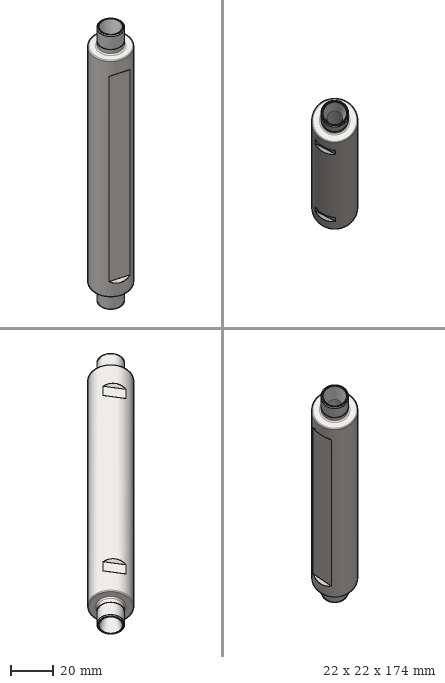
import cadquery as cq

total_length = 174.0
body_diameter = 22.0
stub_diameter = 13.2
stub_length = 12.0
body_length = total_length - 2 * stub_length
body_radius = body_diameter / 2

body_edge_fillet = 0.5
tip_chamfer = 0.5
root_fillet = 0.7

thread_length = 8.7
relief_diameter = 13.0

bore_diameter = 7.5
mouth_diameter = 11.1
mouth_depth = 9.0

wrench_flat_depth = 1.5
wrench_flat_length = 6.1
wrench_flat_end_distance = 28.9

long_flat_depth = 1.5
long_flat_length = 130.2


def make_stub(direction):
    """Stub with relief and root fillet; direction is +1 for the top, -1 for the bottom."""
    shoulder = body_length / 2
    thread_start = total_length / 2 - thread_length
    tip = total_length / 2
    thread_radius = stub_diameter / 2
    relief_radius = relief_diameter / 2

    profile = (
        cq.Workplane("XZ")
        .moveTo(0, direction * shoulder)
        .lineTo(relief_radius + root_fillet, direction * shoulder)
        .radiusArc(
            (relief_radius, direction * (shoulder + root_fillet)),
            direction * root_fillet,
        )
        .lineTo(relief_radius, direction * thread_start)
        .lineTo(thread_radius, direction * thread_start)
        .lineTo(thread_radius, direction * (tip - tip_chamfer))
        .lineTo(thread_radius - tip_chamfer, direction * tip)
        .lineTo(0, direction * tip)
        .close()
    )
    return profile.revolve(360, (0, 0, 0), (0, 1, 0))


def make_bore_mouth(direction):
    """Cone narrowing from the stub tip down to the bore."""
    tip = direction * total_length / 2
    return (
        cq.Workplane("XZ")
        .moveTo(0, tip)
        .lineTo(mouth_diameter / 2, tip)
        .lineTo(bore_diameter / 2, tip - direction * mouth_depth)
        .lineTo(0, tip - direction * mouth_depth)
        .close()
        .revolve(360, (0, 0, 0), (0, 1, 0))
    )


def make_flat_cutter(side, depth, floor_length, center_z):
    """Flat with 45 degree end ramps; side is +1 for +X, -1 for -X."""
    floor_x = side * (body_radius - depth)
    outer_x = side * body_radius
    half_floor = floor_length / 2
    half_opening = half_floor + depth
    return (
        cq.Workplane("XZ")
        .polyline([
            (floor_x, center_z - half_floor),
            (outer_x, center_z - half_opening),
            (outer_x, center_z + half_opening),
            (floor_x, center_z + half_floor),
        ])
        .close()
        .extrude(body_radius, both=True)
    )


body = cq.Workplane("XY").circle(body_radius).extrude(body_length / 2, both=True)
result = body.faces("<Z or >Z").edges().fillet(body_edge_fillet)

for end in (1, -1):
    result = result.union(make_stub(end))

bore = cq.Workplane("XY").circle(bore_diameter / 2).extrude(total_length / 2, both=True)
result = result.cut(bore)
for end in (1, -1):
    result = result.cut(make_bore_mouth(end))

result = result.cut(make_flat_cutter(1, long_flat_depth, long_flat_length, 0))
for end in (1, -1):
    flat_z = end * (total_length / 2 - wrench_flat_end_distance)
    result = result.cut(make_flat_cutter(-1, wrench_flat_depth, wrench_flat_length, flat_z))